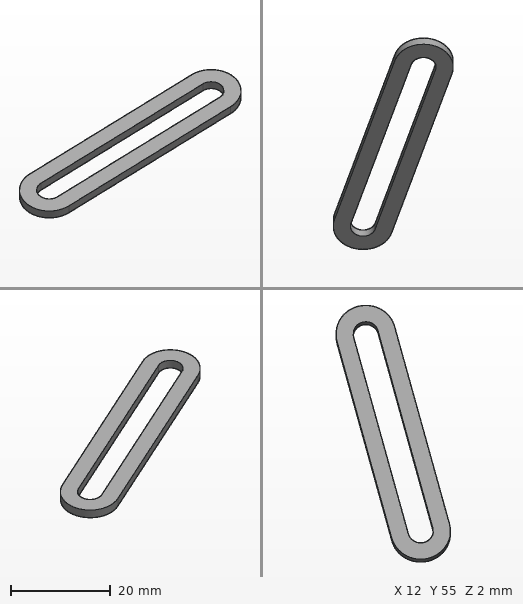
import cadquery as cq

length = 55.0
width = 12.0
thickness = 2.0

rim = 3.45
slot_length = length - 2 * rim
slot_width = width - 2 * rim

plate = cq.Workplane("XY").slot2D(length, width, angle=90).extrude(thickness)

slot = cq.Workplane("XY").slot2D(slot_length, slot_width, angle=90).extrude(thickness)

result = plate.cut(slot)